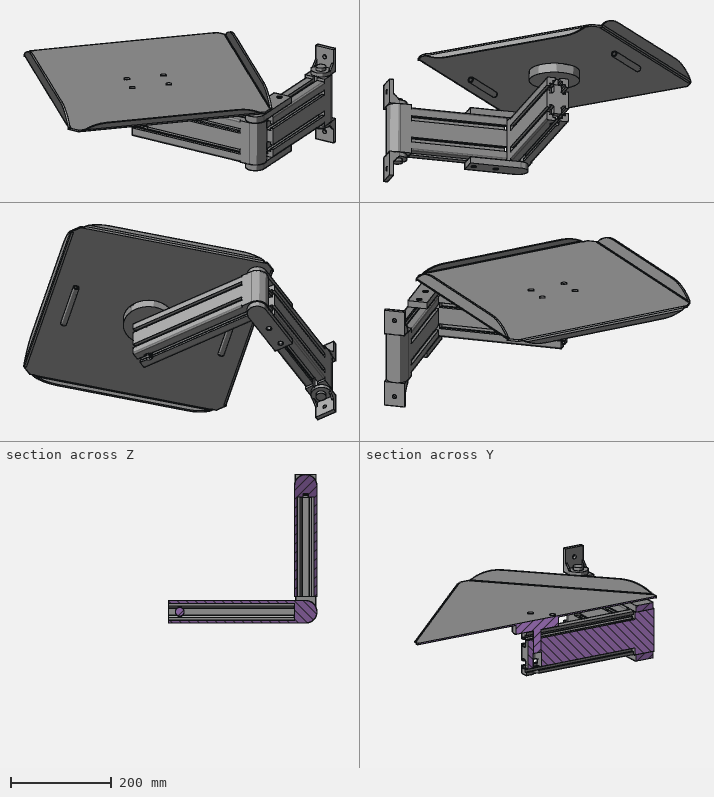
import cadquery as cq
import math


overall_span = 556.5
link_reach = 250.0
pivot_x = link_reach
elbow_y = 0.0
wall_pivot_y = link_reach

profile_width = 45.0
profile_height = 2 * profile_width
profile_edge_round = 3.5
slot_neck_width = 10.0
slot_chamber_width = 20.0
slot_floor_width = 13.5
slot_lip = 6.0
slot_straight_end = 11.0
profile_core = 15.5
slot_depth = (profile_width - profile_core) / 2
side_slot_offset = profile_width / 2

hub_radius = profile_width / 2
wall_hub_height = 102.0
hub_notch_depth = 6.5

upper_arm_length = link_reach
lower_arm_end_y = 30.0
lower_arm_length = wall_pivot_y - hub_radius - lower_arm_end_y

fork_width = 40.0
fork_thickness = 13.5
fork_back_y = 104.5
fork_hole_diameter = 8.0
fork_countersink_diameter = 11.0
fork_countersink_angle = 90
fork_hole_ys = (92.0, 46.0)

bracket_width = 42.0
bracket_plate_height = 50.0
bracket_thickness = 8.5
flange_setback = 1.5
gusset_thickness = 4.0
gusset_rise = 12.0
bolt_head_diameter = 20.0
bolt_head_height = 6.5
wall_hole_diameter = 8.5
wall_hole_inset = 20.0

tray_side = 415.5
tray_turn = -45
corner_cut = tray_side - overall_span / math.sqrt(2)
straight_edge = tray_side - 2 * corner_cut
sheet = 4.0
bend_inner = 1.5
bend_outer = bend_inner + sheet
tray_bottom = 66.0
tall_flange = 30.5
short_flange = 15.5
flange_end_radius = 94.5
short_round_start = 0.5
tray_hole_diameter = 11.5
tray_hole_pitch = (45.0, 74.5)

swivel_diameter = 100.0
swivel_thickness = 19.0
post_diameter = 18.0
rod_diameter = 12.0
rod_bore = 8.0
rod_length = 100.0
rod_offset = 161.5
rod_sink = 0.5


def slot_cutter(length):
    """T-slot along -X, cut downwards from the plane Z = 0."""
    half_outline = [
        (slot_neck_width / 2, 0),
        (slot_neck_width / 2, -slot_lip),
        (slot_chamber_width / 2, -slot_lip),
        (slot_chamber_width / 2, -slot_straight_end),
        (slot_floor_width / 2, -slot_depth),
    ]
    mirrored = [(-y, z) for y, z in reversed(half_outline)]
    return cq.Workplane("YZ").polyline(half_outline + mirrored).close().extrude(-length)


def slotted_profile(length):
    """Profile that runs along -X from the origin, with six T-slots."""
    bar = cq.Workplane("YZ").rect(profile_width, profile_height).extrude(-length)
    bar = bar.edges("|X").fillet(profile_edge_round)
    cutter = slot_cutter(length)
    for turn in (0, 180):
        bar = bar.cut(cutter.translate((0, 0, profile_height / 2)).rotate((0, 0, 0), (1, 0, 0), turn))
        for offset in (-side_slot_offset, side_slot_offset):
            side_slot = cutter.translate((0, offset, profile_width / 2))
            bar = bar.cut(side_slot.rotate((0, 0, 0), (1, 0, 0), 90 + turn))
    return bar


def arm_with_hub(profile_length, hub_height):
    """Arm along -X with its hub axis on Z."""
    hub = cq.Workplane("XY").circle(hub_radius).extrude(hub_height)
    block = cq.Workplane("XY").box(hub_radius, profile_width, hub_height, centered=(False, True, False))
    hub = hub.union(block.translate((-hub_radius, 0, 0))).translate((0, 0, -hub_height / 2))
    return hub.union(slotted_profile(profile_length).translate((-hub_radius, 0, 0)))


def fork_plate():
    """Plate from the wall arm to the elbow, rounded about the elbow axis, standing on Z = 0."""
    straight = cq.Workplane("XY").box(fork_width, fork_back_y, fork_thickness, centered=(True, False, False))
    plate = straight.union(cq.Workplane("XY").circle(fork_width / 2).extrude(fork_thickness))
    top = plate.faces(">Z").workplane(origin=(0, 0, fork_thickness))
    holes = top.pushPoints([(0, y) for y in fork_hole_ys])
    return holes.cskHole(fork_hole_diameter, fork_countersink_diameter, fork_countersink_angle)


def make_wall_arm():
    """Arm along -Y from the wall pivot, with a fork at the elbow."""
    arm = arm_with_hub(lower_arm_length, wall_hub_height)
    notch = cq.Workplane("XY").box(hub_notch_depth, slot_neck_width, wall_hub_height)
    arm = arm.cut(notch.translate((-hub_radius + hub_notch_depth / 2, 0, 0)))
    arm = arm.rotate((0, 0, 0), (0, 0, 1), 90).translate((pivot_x, wall_pivot_y, 0))
    plate = fork_plate().translate((pivot_x, elbow_y, profile_height / 2))
    return arm.union(plate).union(plate.mirror("XY"))


def make_tray_arm():
    """Arm along -X from the elbow, bored for the swivel post."""
    arm = arm_with_hub(upper_arm_length, profile_height).translate((pivot_x, elbow_y, 0))
    bore = cq.Workplane("XY").circle(post_diameter / 2).extrude(profile_height)
    return arm.cut(bore.translate((0, 0, -profile_height / 2)))


def make_upper_bracket():
    """L-bracket that stands on the wall hub, with its bolt head."""
    flange = cq.Workplane("XY").circle(bracket_width / 2).extrude(bracket_thickness)
    base = cq.Workplane("XY").box(
        bracket_width, hub_radius - flange_setback, bracket_thickness, centered=(True, False, False)
    )
    foot = flange.union(base).translate((0, flange_setback, 0))
    plate = cq.Workplane("XY").box(
        bracket_width, bracket_thickness, bracket_plate_height, centered=(True, False, False)
    )
    plate_front = hub_radius - bracket_thickness
    bracket = foot.union(plate.translate((0, plate_front, 0)))

    gusset_outline = [
        (flange_setback, bracket_thickness),
        (plate_front, bracket_thickness),
        (plate_front, bracket_thickness + gusset_rise),
    ]
    gusset = cq.Workplane("YZ").polyline(gusset_outline).close().extrude(gusset_thickness)
    for left_face in (-bracket_width / 2, bracket_width / 2 - gusset_thickness):
        bracket = bracket.union(gusset.translate((left_face, 0, 0)))

    bolt_head = cq.Workplane("XY").circle(bolt_head_diameter / 2).extrude(bolt_head_height)
    bracket = bracket.union(bolt_head.translate((0, 0, bracket_thickness)))
    wall_hole = cq.Workplane("XZ").circle(wall_hole_diameter / 2).extrude(-hub_radius)
    bracket = bracket.cut(wall_hole.translate((0, 0, bracket_plate_height - wall_hole_inset)))
    return bracket.translate((pivot_x, wall_pivot_y, wall_hub_height / 2))


def bend_points(radius):
    """Two-facet bend from the floor to the upright, about an axis one outer radius inside and above."""
    turns = [math.radians(angle) for angle in (0, 45, 90)]
    return [(radius * math.sin(a) - bend_outer, bend_outer - radius * math.cos(a)) for a in turns]


def bent_edge(height, round_start):
    """Upward flange with its bend, on the +X edge of the sheet.

    The ends are straight up to the height round_start and rounded above it.
    """
    outside = bend_points(bend_outer)
    inside = bend_points(bend_inner)
    outline = outside + [(0, height), (-sheet, height)] + inside[::-1]
    section = cq.Workplane("XZ").polyline(outline).close().extrude(straight_edge / 2, both=True)

    rise = height - round_start
    half_sweep = math.acos(1 - rise / flange_end_radius) / 2
    end_run = flange_end_radius * math.sin(2 * half_sweep)
    end = straight_edge / 2
    middle = end - end_run + flange_end_radius * math.sin(half_sweep)
    middle_height = height - flange_end_radius * (1 - math.cos(half_sweep))
    elevation = (
        cq.Workplane("YZ")
        .moveTo(-end, 0)
        .lineTo(end, 0)
        .lineTo(end, round_start)
        .threePointArc((middle, middle_height), (end - end_run, height))
        .lineTo(-end + end_run, height)
        .threePointArc((-middle, middle_height), (-end, round_start))
        .close()
        .extrude(-bend_outer)
    )
    return section.intersect(elevation).translate((tray_side / 2, 0, 0))


def make_tray():
    """Bent sheet with swivel, post and rods, squared up first and then turned by 45 degrees."""
    tray = cq.Workplane("XY").rect(tray_side, tray_side).extrude(sheet).edges("|Z").chamfer(corner_cut)
    tall = bent_edge(tall_flange, sheet)
    short = bent_edge(short_flange, short_round_start)
    hanging = short.mirror("XY").translate((0, 0, sheet))
    flanges_by_angle = ((0, short), (90, tall), (180, hanging), (270, tall))
    for angle, flange in flanges_by_angle:
        strip_length = straight_edge if flange is tall else tray_side
        strip = cq.Workplane("XY").box(bend_outer, strip_length, sheet, centered=(False, True, False))
        strip = strip.translate((tray_side / 2 - bend_outer, 0, 0))
        tray = tray.cut(strip.rotate((0, 0, 0), (0, 0, 1), angle))
        tray = tray.union(flange.rotate((0, 0, 0), (0, 0, 1), angle))

    holes = cq.Workplane("XY").rarray(*tray_hole_pitch, 2, 2).circle(tray_hole_diameter / 2).extrude(sheet)
    tray = tray.cut(holes)
    rod = cq.Workplane("YZ").circle(rod_diameter / 2).circle(rod_bore / 2).extrude(rod_length / 2, both=True)
    for offset in (-rod_offset, rod_offset):
        tray = tray.union(rod.translate((0, offset, rod_sink - rod_diameter / 2)))

    swivel = cq.Workplane("XY").circle(swivel_diameter / 2).extrude(-swivel_thickness)
    post = cq.Workplane("XY").circle(post_diameter / 2).extrude(-tray_bottom)
    tray = tray.union(swivel).union(post)
    return tray.rotate((0, 0, 0), (0, 0, 1), tray_turn).translate((0, 0, tray_bottom))


tray = make_tray()
tray_arm = make_tray_arm()
wall_arm = make_wall_arm()
upper_bracket = make_upper_bracket()
lower_bracket = upper_bracket.mirror("XY")
brackets = (upper_bracket, lower_bracket)

result = cq.Compound.makeCompound(
    [tray.val(), tray_arm.val(), wall_arm.val(), *[bracket.val() for bracket in brackets]]
)